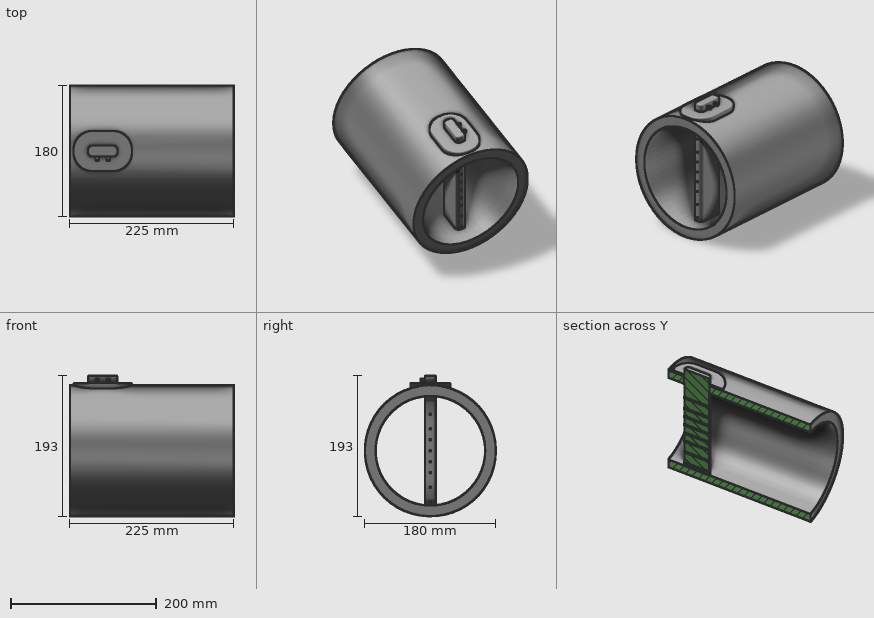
import cadquery as cq

PIPE_LENGTH = 225.0
PIPE_OUTER_RADIUS = 180.0 / 2
PIPE_BORE_RADIUS = 150.0 / 2

BLADE_CENTER_X = 45.0
BLADE_LENGTH = 40.0
BLADE_WIDTH = 15.0
BLADE_CORNER_RADIUS = 5.5
BLADE_TOP_Z = PIPE_OUTER_RADIUS + 13.0
BLADE_BOTTOM_Z = -PIPE_BORE_RADIUS
BLADE_TOP_FILLET = 2.0

PLATE_MARGIN = 20.0
PLATE_LENGTH = BLADE_LENGTH + 2 * PLATE_MARGIN
PLATE_WIDTH = BLADE_WIDTH + 2 * PLATE_MARGIN
PLATE_CORNER_RADIUS = BLADE_CORNER_RADIUS + PLATE_MARGIN
PLATE_TOP_Z = PIPE_OUTER_RADIUS + 3.0
PLATE_TOP_FILLET = 2.0

PORT_DIAMETER = 4.5
PORT_BORE_DIAMETER = 1.5
PORT_LENGTH = 5.8
PORT_SPACING = 15.0
PORT_Z = PIPE_OUTER_RADIUS + 7.0
PORT_END_CHAMFER = 1.0

SENSING_HOLE_DIAMETER = 1.5
SENSING_HOLE_HEIGHTS = (-70.0, -50.0, -30.0, -15.0, 0.0, 15.0, 30.0, 50.0)


def make_rounded_bar(length, width, corner_radius, bottom_z, top_z):
    """Upright bar with rounded corners, centred on the probe."""
    return (
        cq.Workplane("XY", origin=(BLADE_CENTER_X, 0, bottom_z))
        .rect(length, width)
        .extrude(top_z - bottom_z)
        .edges("|Z")
        .fillet(corner_radius)
    )


def make_blade_bar(bottom_z):
    """Blade outline extruded from the given height to the top of the probe."""
    return make_rounded_bar(BLADE_LENGTH, BLADE_WIDTH, BLADE_CORNER_RADIUS, bottom_z, BLADE_TOP_Z)


def make_pipe_cylinder(radius):
    """Solid cylinder over the full pipe length."""
    return cq.Workplane("YZ").circle(radius).extrude(PIPE_LENGTH)


def make_pipe():
    """Tube with a slot in its top wall that the blade fills."""
    tube = make_pipe_cylinder(PIPE_OUTER_RADIUS).cut(make_pipe_cylinder(PIPE_BORE_RADIUS))
    return tube.cut(make_blade_bar(0))


def make_blade(pipe):
    """Blade with a rounded top rim, its foot trimmed to the curved floor of the bore."""
    blade = make_blade_bar(BLADE_BOTTOM_Z).faces(">Z").edges().fillet(BLADE_TOP_FILLET)
    return blade.cut(pipe)


def make_saddle_plate():
    """Plate with a rounded top rim and an underside that fits the pipe."""
    plate = make_rounded_bar(PLATE_LENGTH, PLATE_WIDTH, PLATE_CORNER_RADIUS, 0, PLATE_TOP_Z)
    plate = plate.faces(">Z").edges().fillet(PLATE_TOP_FILLET)
    return plate.cut(make_pipe_cylinder(PIPE_OUTER_RADIUS))


def make_port_pin(center_x):
    """Round pin that sticks out of the blade toward -Y, with a chamfered end."""
    return (
        cq.Workplane("XZ", origin=(center_x, 0, PORT_Z))
        .circle(PORT_DIAMETER / 2)
        .extrude(BLADE_WIDTH / 2 + PORT_LENGTH)
        .faces("<Y")
        .edges()
        .chamfer(PORT_END_CHAMFER)
    )


def make_port_bore(center_x):
    """Bore along a port pin, as deep as the pin is long."""
    return (
        cq.Workplane("XZ", origin=(center_x, -BLADE_WIDTH / 2, PORT_Z))
        .circle(PORT_BORE_DIAMETER / 2)
        .extrude(PORT_LENGTH)
    )


def make_sensing_holes():
    """Row of small holes through the blade along X."""
    return (
        cq.Workplane("YZ", origin=(BLADE_CENTER_X - BLADE_LENGTH / 2, 0, 0))
        .pushPoints([(0, height) for height in SENSING_HOLE_HEIGHTS])
        .circle(SENSING_HOLE_DIAMETER / 2)
        .extrude(BLADE_LENGTH)
    )


def make_probe(pipe):
    """Blade, saddle plate and pressure ports as one body."""
    body = make_blade(pipe).union(make_saddle_plate()).cut(make_sensing_holes())
    for side in (-1, 1):
        port_x = BLADE_CENTER_X + side * PORT_SPACING / 2
        body = body.union(make_port_pin(port_x)).cut(make_port_bore(port_x))
    return body


pipe = make_pipe()
probe = make_probe(pipe)

result = cq.Compound.makeCompound([pipe.solids().val(), probe.solids().val()])